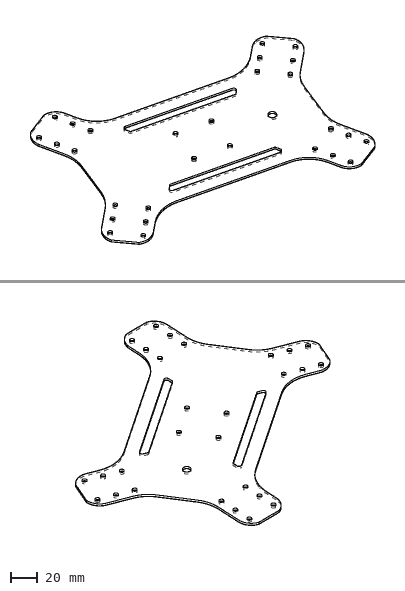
import cadquery as cq
import math

overall_width = 155.5
overall_length = 225.5
thickness = 2.0
body_half_width = 50.0
body_half_length = 93.0
waist_fillet = 30.0

arm_angle = 34.5
arm_half_width = 19.5
arm_tip = 8.1
tip_half_width = 10.4
corner_start = -4.3

small_diameter = 3.5
large_diameter = 6.5
large_hole_y = 58.2
center_hole_pitch = 30.0
arm_hole_pitch = center_hole_pitch / 2
arm_holes_per_side = 3
arm_hole_offset = 12.5

slot_inner_x = 32.0
slot_outer_x = 38.8
slot_inner_half_length = 44.0
slot_fillet = 2.0

cos_arm = math.cos(math.radians(arm_angle))
sin_arm = math.sin(math.radians(arm_angle))
tan_arm = sin_arm / cos_arm

corner_run = arm_tip - corner_start
corner_drop = arm_half_width - tip_half_width
corner_radius = (corner_run**2 + corner_drop**2) / (2 * corner_drop)
corner_center_across = arm_half_width - corner_radius

arm_origin = (
    overall_width / 2 - corner_radius - corner_start * cos_arm - corner_center_across * sin_arm,
    overall_length / 2 - corner_radius - corner_start * sin_arm - corner_center_across * cos_arm,
)


def arm_point(along, across):
    """Point of the +X +Y arm; positive across lies on its +Y side."""
    x = arm_origin[0] + along * cos_arm - across * sin_arm
    y = arm_origin[1] + along * sin_arm + across * cos_arm
    return (x, y)


def mirrored(point):
    """The point and its mirror images in all four quadrants."""
    x, y = point
    return [(sx * x, sy * y) for sx in (1, -1) for sy in (1, -1)]


def tip_corner_middle():
    """Middle of the corner arc, as distances along and across the arm."""
    half_sweep = math.atan2(corner_drop, corner_run)
    along = corner_start + corner_radius * math.sin(half_sweep)
    across = corner_center_across + corner_radius * math.cos(half_sweep)
    return (along, across)


def make_quarter():
    """One quadrant of the plate, carrying one arm."""
    side_x, side_y = arm_point(0, arm_half_width)
    top_corner = (side_x - (side_y - body_half_length) / tan_arm, body_half_length)
    side_x, side_y = arm_point(0, -arm_half_width)
    side_corner = (body_half_width, side_y - (side_x - body_half_width) * tan_arm)
    middle_along, middle_across = tip_corner_middle()
    quarter = (
        cq.Workplane("XY")
        .lineTo(0, body_half_length)
        .lineTo(*top_corner)
        .lineTo(*arm_point(corner_start, arm_half_width))
        .threePointArc(arm_point(middle_along, middle_across), arm_point(arm_tip, tip_half_width))
        .lineTo(*arm_point(arm_tip, -tip_half_width))
        .threePointArc(arm_point(middle_along, -middle_across), arm_point(corner_start, -arm_half_width))
        .lineTo(*side_corner)
        .lineTo(body_half_width, 0)
        .close()
        .extrude(thickness)
    )
    for x, y in (top_corner, side_corner):
        edge = cq.selectors.NearestToPointSelector((x, y, thickness / 2))
        quarter = quarter.edges("|Z").edges(edge).fillet(waist_fillet)
    return quarter


def make_plate():
    quarter = make_quarter()
    half = quarter.union(quarter.mirror("YZ"))
    return half.union(half.mirror("XZ")).clean()


def make_holes(points, diameter):
    return cq.Workplane("XY").pushPoints(points).circle(diameter / 2).extrude(thickness)


def make_slot():
    """Slot on the +X side, longest along its outer edge."""
    outer_half_length = slot_inner_half_length + (slot_outer_x - slot_inner_x) * tan_arm
    return (
        cq.Workplane("XY")
        .polyline([
            (slot_inner_x, -slot_inner_half_length),
            (slot_outer_x, -outer_half_length),
            (slot_outer_x, outer_half_length),
            (slot_inner_x, slot_inner_half_length),
        ])
        .close()
        .extrude(thickness)
        .edges("|Z and >X")
        .fillet(slot_fillet)
    )


small_points = mirrored((center_hole_pitch / 2, center_hole_pitch / 2))
for index in range(arm_holes_per_side):
    for across in (-arm_hole_offset, arm_hole_offset):
        small_points += mirrored(arm_point(-index * arm_hole_pitch, across))

slot = make_slot()
result = (
    make_plate()
    .cut(make_holes(small_points, small_diameter))
    .cut(make_holes([(0, large_hole_y)], large_diameter))
    .cut(slot)
    .cut(slot.mirror("YZ"))
)